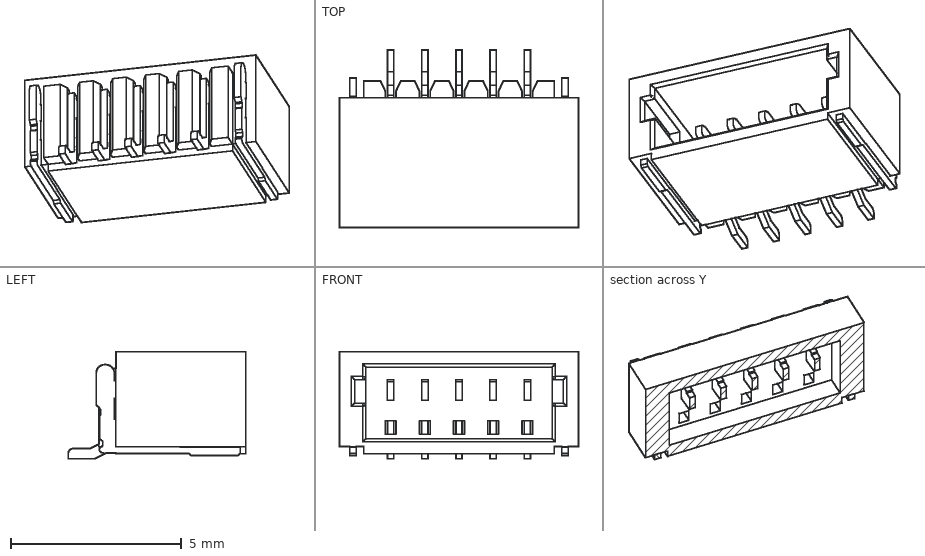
import cadquery as cq
import math


width = 7.0
depth = 3.8
top = 3.14
side_bottom = 0.365
keel_bottom = 0.15
keel_width = 5.585

rim_chamfer = 0.1
rim_angle = 45
cavity_half = 2.82
cavity_bottom = 0.5
cavity_top = 2.785
notch_half = 3.15
notch_bottom = 1.54
notch_top = 2.415
notch_depth = 2.0
rear_wall = 0.6
cavity_depth = depth - rear_wall

contact_count = 5
pitch = width / 7
contact_width = 0.19
window_width = 0.31
window_bottom = 0.73
window_top = 1.11
rib_rear = 4.3
rib_top = 2.65
slot_mouth = 0.595
slot_flare_start = 4.0

pin_length = 1.505
pin_root_bottom = 1.715
pin_root_top = 2.325
pin_shank_top = 2.26
tip_bottom = 1.875
tip_top = 2.17
tip_radius = 0.11
lead_in_angle = 20.0
shoulder_length = 0.4
shoulder_overhang = 0.01

leg_front = 3.88
leg_rear = 4.165
leg_top = 2.395
foot_end = 5.2
foot_thickness = 0.31
foot_top_bend = 4.565
foot_bottom_bend = 4.43
foot_slope = 0.5
foot_radius = 0.155

tab_width = 0.2
tab_offset = 3.1
tab_front = 0.17
tab_bottom = 0.175
tab_sole = 0.1
tab_sole_chamfer = 0.06
tab_sole_end = 1.6
tab_relief = 0.02
tab_relief_end = 1.92
tab_gap = 0.05
tab_touch_bottom = 1.16
tab_pad_bottom = 1.77
tab_pad_top = 2.29
tab_rear = 4.38
tab_crown = 2.765
tab_crown_flat = 0.02
tab_shoulder = 1.58
tab_waist_rear = 4.27
tab_heel_rear = 4.29
tab_heel_radius = 0.12

tab_grooves = [(1.275, 1.46, 0.03, 0.03), (0.32, 0.59, 0.08, 0.07)]

contact_places = [(i - (contact_count - 1) / 2) * pitch for i in range(contact_count)]


def box(x_min, x_max, y_min, y_max, z_min, z_max):
    """Block between two opposite corners."""
    size = (x_max - x_min, y_max - y_min, z_max - z_min)
    return cq.Workplane("XY").box(*size, centered=False).translate((x_min, y_min, z_min))


def centred_box(span, y_min, y_max, z_min, z_max):
    """Block that is symmetric about the plane X = 0."""
    return box(-span / 2, span / 2, y_min, y_max, z_min, z_max)


def side_plate(points, thickness):
    """Plate with a Y-Z outline, centred on X = 0."""
    return cq.Workplane("YZ").polyline(points).close().extrude(thickness / 2, both=True)


def mating_plane(y):
    """Plane facing into the housing, whose local axes are -X and Z."""
    return cq.Workplane(cq.Plane(origin=(0, y, 0), xDir=(-1, 0, 0), normal=(0, 1, 0)))


def cavity_rim():
    """Chamfered mouth of the cavity, including both side notches."""
    right = [
        (cavity_half, cavity_bottom),
        (cavity_half, notch_bottom),
        (notch_half, notch_bottom),
        (notch_half, notch_top),
        (cavity_half, notch_top),
        (cavity_half, cavity_top),
    ]
    left = [(-x, z) for x, z in reversed(right)]
    return mating_plane(0).polyline(right + left).close().extrude(rim_chamfer, taper=rim_angle)


def cavity():
    c = rim_chamfer
    main = centred_box(2 * (cavity_half - c), 0, cavity_depth, cavity_bottom + c, cavity_top - c)
    notches = centred_box(2 * (notch_half - c), 0, notch_depth, notch_bottom + c, notch_top - c)
    return main.union(notches).union(cavity_rim())


def contact_slot():
    """Gap between two rear ribs, flared towards the rear."""
    right = [
        (window_width / 2, depth),
        (window_width / 2, slot_flare_start),
        (slot_mouth / 2, rib_rear),
    ]
    left = [(-x, y) for x, y in reversed(right)]
    return cq.Workplane("XY").polyline(right + left).close().extrude(top)


def contact_pin():
    """Mating pin inside the cavity, with a rounded tip and a shoulder at its root."""
    tip = cavity_depth - pin_length
    lead_in_run = (pin_shank_top - tip_top) / math.tan(math.radians(lead_in_angle))
    shoulder = cavity_depth - shoulder_length
    outline = [
        (tip, tip_bottom),
        (tip, tip_top),
        (tip + lead_in_run, pin_shank_top),
        (shoulder + shoulder_overhang, pin_shank_top),
        (shoulder, pin_root_top),
        (leg_front, pin_root_top),
        (leg_front, pin_root_bottom),
        (cavity_depth, pin_root_bottom),
    ]
    pin = side_plate(outline, contact_width)
    return pin.faces("<Y").edges("|X").fillet(tip_radius)


def contact_leg():
    """Upright leg behind the housing that bends out into the solder foot."""
    outline = [
        (foot_end, 0),
        (foot_end, foot_thickness),
        (foot_top_bend, foot_thickness),
        (leg_rear, foot_thickness + foot_slope * (foot_top_bend - leg_rear)),
        (leg_rear, leg_top),
        (leg_front, leg_top),
        (leg_front, foot_slope * (foot_bottom_bend - leg_front)),
        (foot_bottom_bend, 0),
    ]
    leg = side_plate(outline, contact_width)
    return leg.faces(">Y").edges("|X and >Z").fillet(foot_radius)


def make_housing():
    """Moulded housing in one piece with the contacts embedded in its rear wall."""
    body = centred_box(width, 0, depth, side_bottom, top)
    body = body.union(centred_box(keel_width, 0, depth, keel_bottom, top))
    body = body.union(centred_box(keel_width, depth, rib_rear, side_bottom, rib_top))
    body = body.cut(cavity())
    window = centred_box(window_width, cavity_depth, depth, window_bottom, window_top)
    contact = contact_pin().union(contact_leg())
    for x in contact_places:
        body = body.cut(contact_slot().translate((x, 0, 0)))
        body = body.cut(window.translate((x, 0, 0)))
        body = body.union(contact.translate((x, 0, 0)))
    return body


def tab_groove(bottom, groove_top, groove_depth, lead_in):
    """Groove with sloped ends across the rear edge of a tab."""
    floor = tab_waist_rear - groove_depth
    outline = [
        (tab_rear, bottom),
        (tab_waist_rear, bottom),
        (floor, bottom + lead_in),
        (floor, groove_top - lead_in),
        (tab_waist_rear, groove_top),
        (tab_rear, groove_top),
    ]
    return side_plate(outline, tab_width)


def make_tab(x):
    """L-shaped hold-down tab along the underside and the rear face of the housing."""
    front = depth + tab_gap
    crown_radius = (tab_rear - front - tab_crown_flat) / 2
    crown_base = tab_crown - crown_radius
    sole_step = tab_bottom - tab_sole
    tab = (
        cq.Workplane("YZ")
        .moveTo(tab_front, side_bottom - tab_relief)
        .lineTo(tab_relief_end, side_bottom - tab_relief)
        .lineTo(tab_relief_end, side_bottom)
        .lineTo(depth, side_bottom)
        .lineTo(depth, tab_touch_bottom)
        .lineTo(front, tab_touch_bottom)
        .lineTo(front, tab_pad_bottom)
        .lineTo(depth, tab_pad_bottom)
        .lineTo(depth, tab_pad_top)
        .lineTo(front, tab_pad_top)
        .lineTo(front, crown_base)
        .radiusArc((front + crown_radius, tab_crown), crown_radius)
        .lineTo(tab_rear - crown_radius, tab_crown)
        .radiusArc((tab_rear, crown_base), crown_radius)
        .lineTo(tab_rear, tab_shoulder)
        .lineTo(tab_waist_rear, tab_shoulder - (tab_rear - tab_waist_rear))
        .lineTo(tab_waist_rear, tab_bottom + tab_heel_radius)
        .lineTo(tab_heel_rear, tab_bottom + tab_heel_radius)
        .radiusArc((tab_heel_rear - tab_heel_radius, tab_bottom), tab_heel_radius)
        .lineTo(tab_sole_end + sole_step, tab_bottom)
        .lineTo(tab_sole_end, tab_sole)
        .lineTo(tab_front + tab_sole_chamfer, tab_sole)
        .lineTo(tab_front, tab_sole + tab_sole_chamfer)
        .close()
        .extrude(tab_width / 2, both=True)
    )
    for groove in tab_grooves:
        tab = tab.cut(tab_groove(*groove))
    return tab.translate((x, 0, 0))


housing = make_housing()
tabs = [make_tab(x) for x in (-tab_offset, tab_offset)]
result = cq.Compound.makeCompound([housing.val(), *[tab.val() for tab in tabs]])